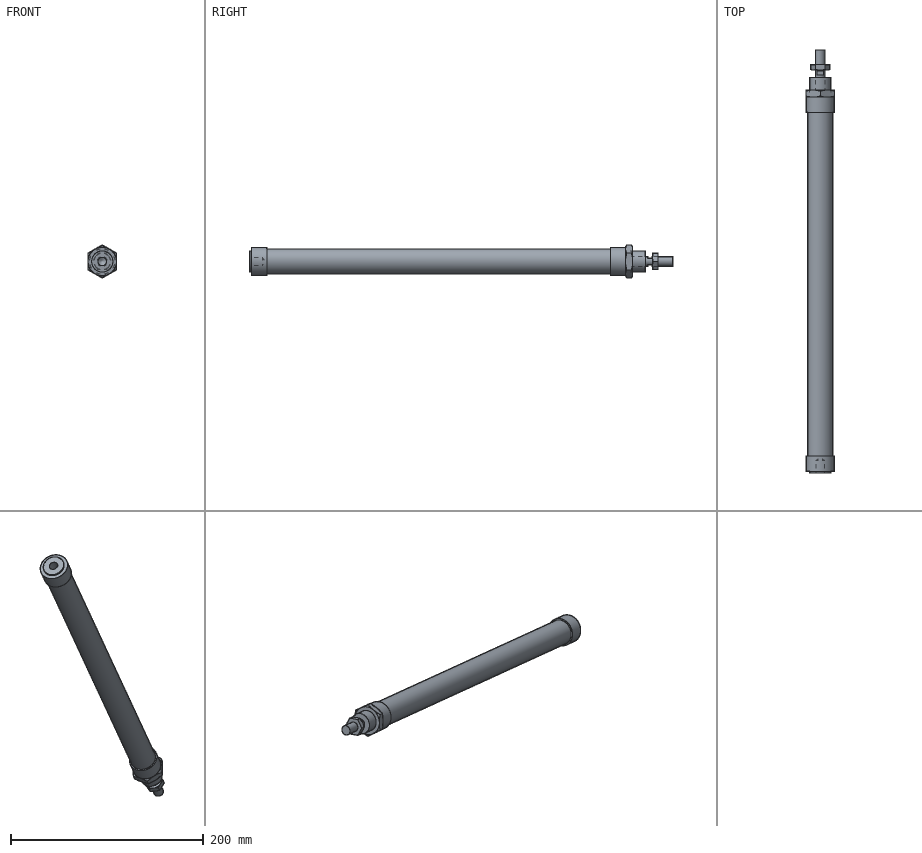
import cadquery as cq
import math

total_length = 440.5

tube_diameter = 26.5
cap_diameter = 29.5
boss_diameter = 22.0
boss_length = 1.8
rear_cap_front = 18.0
front_cap_length = 16.0
port_diameter = 9.0
port_depth = 13.0
drill_point_angle = 118.0

mounting_nut_flats = 30.0
mounting_nut_thickness = 7.5
mounting_nut_rear = total_length - 49.5
nose_front = total_length - 28.5

rod_diameter = 10.0
rod_depth_in_nose = 13.0
wrench_flats = 7.0
wrench_flats_length = 4.0
wrench_flats_rear = nose_front + 2.5
rod_nut_flats = 17.0
rod_nut_thickness = 5.7
rod_nut_rear = total_length - 21.0

nut_chamfer_angle = 30.0


def cylinder(diameter, rear, front):
    """Solid cylinder on the Y axis between two stations."""
    base = cq.Workplane("XZ", origin=(0, rear, 0))
    return base.circle(diameter / 2).extrude(rear - front)


def make_housing():
    """Tube with its two end caps, rear boss and front nose as one turned body."""
    front_cap_rear = mounting_nut_rear - front_cap_length
    rear_cap = cylinder(cap_diameter, boss_length, rear_cap_front)
    front_cap = cylinder(cap_diameter, front_cap_rear, mounting_nut_rear)
    body = cylinder(tube_diameter, rear_cap_front, front_cap_rear)
    body = body.union(rear_cap).union(front_cap)
    body = body.union(cylinder(boss_diameter, 0, boss_length))
    body = body.union(cylinder(boss_diameter, mounting_nut_rear, nose_front))
    body = body.cut(make_port())
    return body.cut(cylinder(rod_diameter, nose_front - rod_depth_in_nose, nose_front))


def make_port():
    """Blind rear port with a drill point at its bottom."""
    radius = port_diameter / 2
    point_length = radius / math.tan(math.radians(drill_point_angle / 2))
    profile = cq.Workplane("XY").polyline(
        [(0, 0), (radius, 0), (radius, port_depth), (0, port_depth + point_length)]
    )
    return profile.close().revolve(360, (0, 0, 0), (0, 1, 0))


def make_nut(flats, thickness, rear, bore, turn, chamfer_front):
    """Hexagon nut with its corners turned off by a cone at the rear and optionally at the front."""
    corners = flats / math.cos(math.pi / 6)
    corner_radius = corners / 2
    face_radius = flats / 2
    drop = (corner_radius - face_radius) * math.tan(math.radians(nut_chamfer_angle))
    front = rear + thickness
    hexagon = cq.Workplane("XZ", origin=(0, rear, 0)).polygon(6, corners).extrude(-thickness)
    hexagon = hexagon.rotate((0, 0, 0), (0, 1, 0), turn)
    outline = [(0, rear), (face_radius, rear), (corner_radius, rear + drop)]
    if chamfer_front:
        outline += [(corner_radius, front - drop), (face_radius, front)]
    else:
        outline += [(corner_radius, front)]
    outline += [(0, front)]
    blank = cq.Workplane("XY").polyline(outline).close().revolve(360, (0, 0, 0), (0, 1, 0))
    return hexagon.intersect(blank).cut(cylinder(bore, rear, front))


def make_rod():
    """Piston rod with two wrench flats facing up and down."""
    rod = cylinder(rod_diameter, nose_front - rod_depth_in_nose, total_length)
    flats_middle = wrench_flats_rear + wrench_flats_length / 2
    for side in (1, -1):
        height = side * (wrench_flats + rod_diameter) / 2
        cutter = cq.Workplane("XY").box(rod_diameter, wrench_flats_length, rod_diameter)
        rod = rod.cut(cutter.translate((0, flats_middle, height)))
    return rod


housing = make_housing()
mounting_nut = make_nut(
    mounting_nut_flats, mounting_nut_thickness, mounting_nut_rear, boss_diameter, 30, True
)
rod_nut = make_nut(rod_nut_flats, rod_nut_thickness, rod_nut_rear, rod_diameter, 0, False)
rod = make_rod()

result = cq.Compound.makeCompound([housing.val(), mounting_nut.val(), rod.val(), rod_nut.val()])